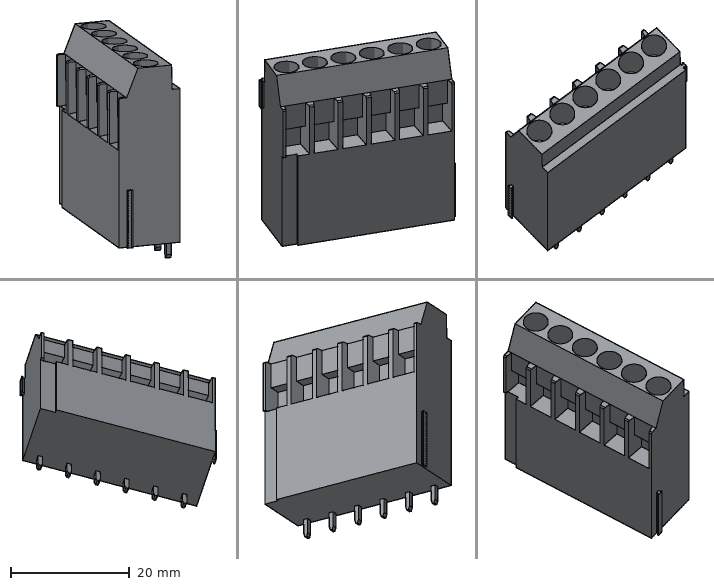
import cadquery as cq
import math


POLES = 6
PITCH = 5.08
WIDTH = 30.6
DEPTH = 10.95
PIN_LENGTH = 3.22
OVERALL_HEIGHT = 34.3
HEIGHT = OVERALL_HEIGHT - PIN_LENGTH

LEDGE_Z = 26.1
LEDGE_DEPTH = 1.35
LEDGE_CHAMFER = 0.25
TOP_FRONT_Y = 3.35
BACK_STEP_Z = 26.82
BACK_STEP_DEPTH = 1.4
TOP_BACK_INSET = 1.5

HOLE_DIAMETER = 4.2
HOLE_Y = 5.73
HOLE_DEPTH = 6.85

POCKET_WIDTH = 4.22
POCKET_FLOOR_Z = 16.98
POCKET_ROOF_Z = 21.95
POCKET_DEPTH = 2.9
POCKET_TAPER = 11.4

NOTCH_WIDTH = 2.65
NOTCH_DEPTH = 0.5
NOTCH_HEIGHT = 17.08

RAIL_REACH = 0.6
RAIL_HEAD_THICKNESS = 0.2
RAIL_HEAD_WIDTH = 1.03
RAIL_NECK_WIDTH = 0.5
LEFT_RAIL_Y = DEPTH - 0.93
LEFT_RAIL_HEIGHT = 5.0
RIGHT_RAIL_Y = 1.8
RIGHT_RAIL_HEIGHT = 10.0

PIN_WIDTH = 0.8
PIN_THICKNESS = 0.93
PIN_TIP_WIDTH = 0.35
PIN_TIP_LENGTH = 0.62
PIN_Y = DEPTH - 1.2

pole_centers = [WIDTH / 2 + (i - (POLES - 1) / 2) * PITCH for i in range(POLES)]


def make_block():
    """Plain housing: its cross-section extruded along the row of poles."""
    return (
        cq.Workplane("YZ")
        .moveTo(0, 0)
        .lineTo(DEPTH, 0)
        .lineTo(DEPTH, BACK_STEP_Z)
        .lineTo(DEPTH - BACK_STEP_DEPTH, BACK_STEP_Z)
        .lineTo(DEPTH - TOP_BACK_INSET, HEIGHT)
        .lineTo(TOP_FRONT_Y, HEIGHT)
        .lineTo(LEDGE_DEPTH, LEDGE_Z)
        .lineTo(LEDGE_CHAMFER, LEDGE_Z)
        .lineTo(0, LEDGE_Z - LEDGE_CHAMFER)
        .close()
        .extrude(WIDTH)
    )


def make_tapered_recess(x, bottom, top, depth):
    """Cutter with drafted sides that enters the front face, centred on x."""
    return (
        cq.Workplane("XZ", origin=(x, 0, (bottom + top) / 2))
        .rect(POCKET_WIDTH, top - bottom)
        .extrude(-depth, taper=POCKET_TAPER)
    )


def make_pocket(x):
    """Wire pocket: a deep lower recess and a shallow one that opens through the ledge."""
    draft = LEDGE_DEPTH * math.tan(math.radians(POCKET_TAPER))
    lower = make_tapered_recess(x, POCKET_FLOOR_Z, POCKET_ROOF_Z, POCKET_DEPTH)
    upper = make_tapered_recess(x, POCKET_FLOOR_Z, LEDGE_Z + draft, LEDGE_DEPTH)
    return lower.union(upper)


def make_screw_holes():
    """Cutters for the blind round holes in the top face."""
    return (
        cq.Workplane("XY", origin=(0, 0, HEIGHT))
        .pushPoints([(x, HOLE_Y) for x in pole_centers])
        .circle(HOLE_DIAMETER / 2)
        .extrude(-HOLE_DEPTH)
    )


def make_rail(x, y, bottom, height, outward):
    """T-shaped rail on the end face at x; outward is +1 or -1 along X."""
    head_x = x + outward * (RAIL_REACH - RAIL_HEAD_THICKNESS / 2)
    neck = (
        cq.Workplane("XY", origin=(x + outward * RAIL_REACH / 2, y, bottom))
        .rect(RAIL_REACH, RAIL_NECK_WIDTH)
        .extrude(height)
    )
    head = (
        cq.Workplane("XY", origin=(head_x, y, bottom))
        .rect(RAIL_HEAD_THICKNESS, RAIL_HEAD_WIDTH)
        .extrude(height)
    )
    return neck.union(head)


def make_housing():
    body = make_block().cut(make_screw_holes())
    for x in pole_centers:
        body = body.cut(make_pocket(x))
    notch = cq.Workplane("XY").box(NOTCH_WIDTH, NOTCH_DEPTH, NOTCH_HEIGHT, centered=False)
    left_rail_bottom = BACK_STEP_Z - LEFT_RAIL_HEIGHT
    return (
        body.cut(notch)
        .union(make_rail(0, LEFT_RAIL_Y, left_rail_bottom, LEFT_RAIL_HEIGHT, -1))
        .union(make_rail(WIDTH, RIGHT_RAIL_Y, 0, RIGHT_RAIL_HEIGHT, 1))
    )


def make_pin(x):
    """Flat pin below the housing, narrowed across its width at the tip."""
    shoulder_z = PIN_TIP_LENGTH - PIN_LENGTH
    return (
        cq.Workplane("XZ", origin=(x, PIN_Y + PIN_THICKNESS / 2, 0))
        .moveTo(-PIN_WIDTH / 2, 0)
        .lineTo(PIN_WIDTH / 2, 0)
        .lineTo(PIN_WIDTH / 2, shoulder_z)
        .lineTo(PIN_TIP_WIDTH / 2, -PIN_LENGTH)
        .lineTo(-PIN_TIP_WIDTH / 2, -PIN_LENGTH)
        .lineTo(-PIN_WIDTH / 2, shoulder_z)
        .close()
        .extrude(PIN_THICKNESS)
    )


housing = make_housing()
pins = [make_pin(x).val() for x in pole_centers]

result = cq.Compound.makeCompound([housing.val(), *pins])